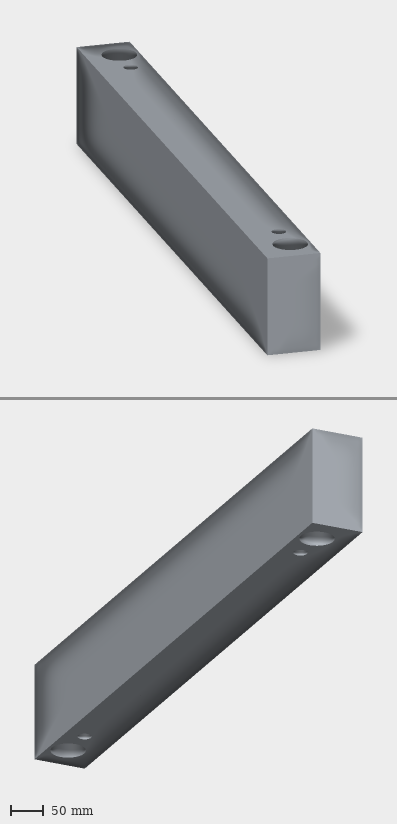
import cadquery as cq

length = 996.0
width = 84.0
height = 156.0

hole_line_y = 10.0
large_hole_diameter = 54.0
large_hole_spacing = 892.0
small_hole_diameter = 22.0
small_hole_spacing = 774.0


def through_hole_pair(bar, diameter, spacing):
    """Drill two holes through the full height, spaced evenly about X = 0."""
    centres = [(-spacing / 2, hole_line_y), (spacing / 2, hole_line_y)]
    return bar.faces(">Z").workplane(origin=(0, 0, height)).pushPoints(centres).hole(diameter)


bar = cq.Workplane("XY").box(length, width, height, centered=(True, True, False))
bar = through_hole_pair(bar, large_hole_diameter, large_hole_spacing)
result = through_hole_pair(bar, small_hole_diameter, small_hole_spacing)